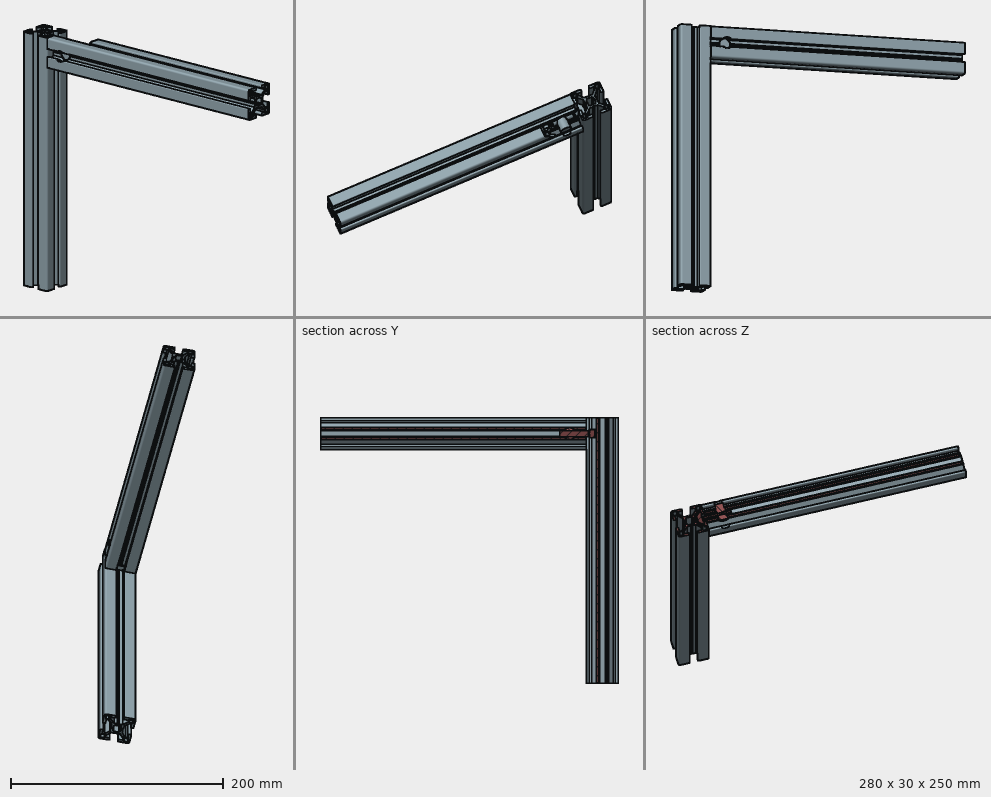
import cadquery as cq

PROFILE_WIDTH = 30.0
PROFILE_LENGTH = 250.0
EDGE_RADIUS = 2.0
SLOT_OPENING = 7.8
LIP_THICKNESS = 2.8
LIP_TIP_RADIUS = 0.8
CAVITY_HALF_WIDTH = 8.5
CORE_HALF_WIDTH = 6.0
WEB_OFFSET = 1.7
GROOVE_HALF_WIDTH = 0.98
GROOVE_DEPTH = 0.8
CORE_HOLE_WIDTH = 7.3
CORE_HOLE_CHAMFER = 1.0
CORNER_HOLE_INNER = 9.5
CORNER_HOLE_OUTER = 13.2

SLOPE_START = 24.0

BARREL_RADIUS = 5.3
BARREL_OFFSET = 16.0
BARREL_FRONT = -7.0
BARREL_REAR = 11.5
BOLT_RADIUS = 3.5
NECK_RADIUS = 1.7
NECK_LENGTH = 0.8
BOLT_END = 25.2
HEAD_HALF_WIDTH = 7.3
HEAD_NOSE_HALF_WIDTH = 3.5
HEAD_NOSE_X = 7.0
HEAD_SHOULDER_X = 11.0
HEAD_HEIGHT = 7.8
COLLAR_OFFSET = 1.5
COLLAR_LENGTH = 3.5
COLLAR_CHAMFER = 1.0

HALF_WIDTH = PROFILE_WIDTH / 2
LIP_INSIDE = HALF_WIDTH - LIP_THICKNESS
SLOT_HALF_OPENING = SLOT_OPENING / 2
RAIL_START = HALF_WIDTH
BARREL_X = RAIL_START + BARREL_OFFSET
HEAD_SEAT_X = LIP_INSIDE


def slot_outline():
    """T-slot open towards +Y, listed from the left mouth edge to the right one."""
    left = [
        (-SLOT_HALF_OPENING, HALF_WIDTH),
        (-SLOT_HALF_OPENING, LIP_INSIDE),
        (-CAVITY_HALF_WIDTH, LIP_INSIDE),
        (-CAVITY_HALF_WIDTH, CAVITY_HALF_WIDTH + WEB_OFFSET),
        (WEB_OFFSET - CORE_HALF_WIDTH, CORE_HALF_WIDTH),
        (-GROOVE_HALF_WIDTH, CORE_HALF_WIDTH),
    ]
    groove_bottom = [(0, CORE_HALF_WIDTH - GROOVE_DEPTH)]
    right = [(-x, y) for x, y in reversed(left)]
    return left + groove_bottom + right


def make_profile():
    """T-slot profile along +Z, starting at the XY plane."""
    body = cq.Workplane("XY").rect(PROFILE_WIDTH, PROFILE_WIDTH).extrude(PROFILE_LENGTH)
    body = body.edges("|Z").fillet(EDGE_RADIUS)
    core_hole = cq.Workplane("XY").rect(CORE_HOLE_WIDTH, CORE_HOLE_WIDTH).extrude(PROFILE_LENGTH)
    body = body.cut(core_hole.edges("|Z").chamfer(CORE_HOLE_CHAMFER))
    slot = cq.Workplane("XY").polyline(slot_outline()).close().extrude(PROFILE_LENGTH)
    corner_width = CORNER_HOLE_OUTER - CORNER_HOLE_INNER
    corner_center = (CORNER_HOLE_OUTER + CORNER_HOLE_INNER) / 2
    corner = (
        cq.Workplane("XY")
        .center(corner_center, corner_center)
        .rect(corner_width, corner_width)
        .extrude(PROFILE_LENGTH)
    )
    for turn in range(4):
        for cutter in (slot, corner):
            body = body.cut(cutter.rotate((0, 0, 0), (0, 0, 1), 90 * turn))
    return round_lip_tips(body)


def round_lip_tips(body):
    """Rounds the outer and inner edge of every lip along the four slot openings."""
    for side in (-SLOT_HALF_OPENING, SLOT_HALF_OPENING):
        for depth in (LIP_INSIDE, HALF_WIDTH, -LIP_INSIDE, -HALF_WIDTH):
            for x, y in ((side, depth), (depth, side)):
                tip = cq.selectors.NearestToPointSelector((x, y, PROFILE_LENGTH / 2))
                body = body.edges("|Z").edges(tip).fillet(LIP_TIP_RADIUS)
    return body


def make_post():
    """Upright profile whose top end is level with the top of the rail."""
    return make_profile().translate((0, 0, HALF_WIDTH - PROFILE_LENGTH))


def make_access_cut():
    """Wedge-ended block that opens the rail's upper rear quarter around the connector."""
    slope_top = RAIL_START + SLOPE_START + PROFILE_WIDTH
    outline = [
        (RAIL_START, 0),
        (RAIL_START + SLOPE_START, 0),
        (slope_top, PROFILE_WIDTH),
        (RAIL_START, PROFILE_WIDTH),
    ]
    return cq.Workplane("XZ").polyline(outline).close().extrude(-PROFILE_WIDTH)


def make_cross_cylinder(front, rear):
    """Cylinder of the barrel's diameter along Y between two Y positions."""
    return cq.Workplane("XZ", origin=(BARREL_X, front, 0)).circle(BARREL_RADIUS).extrude(front - rear)


def make_rail():
    """Horizontal profile along +X with the access cut and the cross hole for the barrel."""
    rail = make_profile().rotate((0, 0, 0), (0, 1, 0), 90).translate((RAIL_START, 0, 0))
    rail = rail.cut(make_access_cut())
    return rail.cut(make_cross_cylinder(-PROFILE_WIDTH, PROFILE_WIDTH))


def make_shaft(radius, start, end):
    """Cylinder along the X axis between two X positions."""
    return cq.Workplane("YZ", origin=(start, 0, 0)).circle(radius).extrude(end - start)


def make_bolt():
    """Bolt whose tapered head sits behind the lips of the post's +X slot."""
    upper = [
        (HEAD_NOSE_X, HEAD_NOSE_HALF_WIDTH),
        (HEAD_SHOULDER_X, HEAD_HALF_WIDTH),
        (HEAD_SEAT_X, HEAD_HALF_WIDTH),
    ]
    lower = [(x, -y) for x, y in reversed(upper)]
    head = cq.Workplane("XY").polyline(upper + lower).close().extrude(HEAD_HEIGHT / 2, both=True)
    shaft_start = HEAD_SEAT_X + NECK_LENGTH
    neck = make_shaft(NECK_RADIUS, HEAD_SEAT_X, shaft_start)
    shaft = make_shaft(BOLT_RADIUS, shaft_start, RAIL_START + BOLT_END)
    return head.union(neck).union(shaft)


def make_barrel(bolt):
    """Cross barrel with a hole where the bolt passes through."""
    return make_cross_cylinder(BARREL_FRONT, BARREL_REAR).cut(bolt)


def make_collar(bolt):
    """Chamfered ring around the bolt inside the rail's core hole."""
    start = RAIL_START + COLLAR_OFFSET
    collar = make_shaft(CORE_HOLE_WIDTH / 2, start, start + COLLAR_LENGTH)
    return collar.faces("<X or >X").edges().chamfer(COLLAR_CHAMFER).cut(bolt)


post = make_post()
rail = make_rail()
bolt = make_bolt()
barrel = make_barrel(bolt)
collar = make_collar(bolt)

result = cq.Compound.makeCompound([post.val(), rail.val(), bolt.val(), barrel.val(), collar.val()])